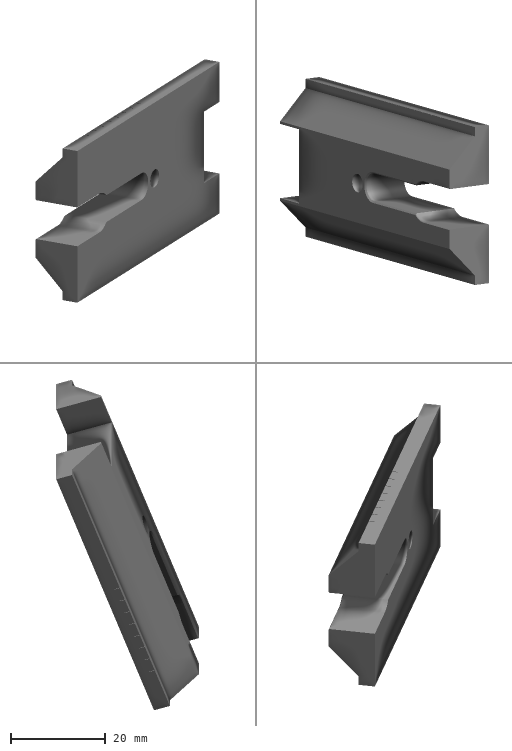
import cadquery as cq

length = 64.0
thickness = 10.0
height = 34.0
flange_thickness = 3.5
lip_height = 2.0

slot_radius = 3.0
slot_end_y = 28.9
mouth_radius = 4.35
mouth_center_y = 9.9
slot_chamfer = 0.3
mouth_chamfer = 0.1
front_overrun = 1.3

hole_diameter = 4.0
hole_y = 34.8
notch_depth = 7.05
notch_width = 16.0

mark_count = 8
mark_pitch = 3.25
mark_length = 1.2
mark_width = 0.2
mark_depth = 0.1

half_height = height / 2
bevel = thickness - flange_thickness
shoulder_z = half_height - lip_height
face_z = shoulder_z - bevel


def make_body():
    """Flanged trapezoidal section extruded along Y."""
    profile = [
        (thickness, half_height),
        (bevel, half_height),
        (bevel, shoulder_z),
        (0, face_z),
        (0, -face_z),
        (bevel, -shoulder_z),
        (bevel, -half_height),
        (thickness, -half_height),
    ]
    return cq.Workplane("XZ").polyline(profile).close().extrude(-length)


def channel_outline(radius, end_y):
    """Round-ended channel outline, running out past the front end of the body."""
    return (
        cq.Workplane("YZ")
        .moveTo(-front_overrun, -radius)
        .lineTo(end_y, -radius)
        .threePointArc((end_y + radius, 0), (end_y, radius))
        .lineTo(-front_overrun, radius)
        .close()
    )


def make_channel(radius, end_y, chamfer):
    """Round-ended channel through the thickness, with a 45 degree chamfer at the X = 0 face."""
    channel = channel_outline(radius, end_y).extrude(thickness)
    rim = channel_outline(radius + chamfer, end_y).extrude(chamfer, taper=45)
    return channel.union(rim)


def make_slot():
    """Narrow slot widened by a mouth at the front end."""
    slot = make_channel(slot_radius, slot_end_y, slot_chamfer)
    mouth = make_channel(mouth_radius, mouth_center_y, mouth_chamfer)
    return slot.union(mouth)


def make_hole():
    return cq.Workplane("YZ").center(hole_y, 0).circle(hole_diameter / 2).extrude(thickness)


def make_notch():
    return (
        cq.Workplane("YZ")
        .center(length - notch_depth / 2, 0)
        .rect(notch_depth, notch_width)
        .extrude(thickness)
    )


def make_marks():
    """Shallow grooves running in from the flange shoulder on both outer edges."""
    centers = [
        (bevel + mark_length / 2, mouth_center_y + i * mark_pitch, side * half_height)
        for i in range(mark_count)
        for side in (-1, 1)
    ]
    return (
        cq.Workplane("XY")
        .pushPoints([cq.Vector(*c) for c in centers])
        .box(mark_length, mark_width, 2 * mark_depth)
    )


result = make_body().cut(make_slot()).cut(make_hole()).cut(make_notch()).cut(make_marks())